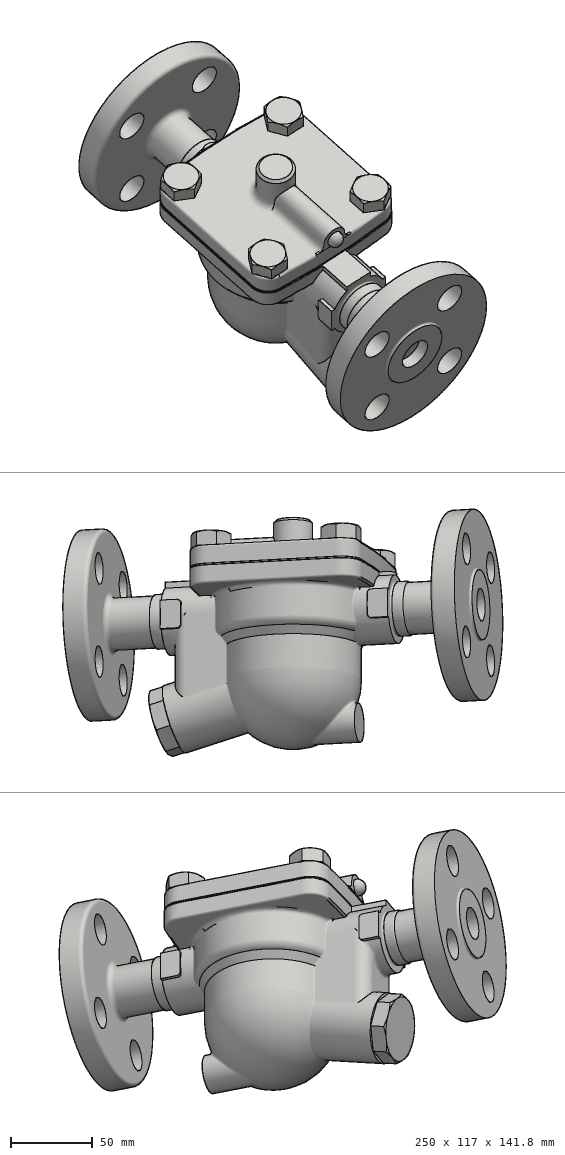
import cadquery as cq
import math

slack = 0.2


total_length = 250.0
flange_dia = 117.0
raised_face_dia = 43.0
raised_face_height = 1.5
raised_face_fillet = 1.2
flange_thickness = 15.2
flange_edge_round = 2.5
flange_hole_dia = 19.2
flange_hole_offset = 29.0
bore_dia = 20.0
bore_depth = 7.8

pipe_dia = 32.0
neck_fillet = 3.5
bead_dia = 33.5
bead_length = 7.0
bead_start = 73.0
bead_round = 0.8
hub_dia = 42.0
hub_end = 71.8
hub_face_fillet = 1.0

side_pad_span = 43.0
side_pad_height = 17.8
side_pad_length = 13.0
top_pad_z = 22.5
inlet_top_pad_width = 12.0
outlet_top_pad_width = 19.0
pad_round = 2.5
inlet_pad_nose_round = 5.5

body_x = -6.5
collar_radius = 48.0
bowl_radius = 41.8
bowl_centre_z = -41.5
collar_bottom_z = -10.0
bowl_top_z = -20.5
collar_fillet = 2.5
junction_fillet = 1.0

bolt_offset = 41.0
plate_corner_radius = 13.0
plate_half_length = 55.8
plate_bottom_z = 11.0
plate_joint_z = 22.5
gasket_thickness = 1.0
gasket_recess = 0.8
cover_recess = 0.2
plate_top_z = 35.2
cover_edge_round = 1.8
plate_edge_round = 1.2
bolt_flats = 22.0
bolt_crown_dia = 21.8
bolt_head_height = 9.2

stub_dia = 24.0
stub_top_z = 58.5
stub_chamfer = 1.8
cover_fillet = 5.2
rod_radius = 8.2
rod_end_x = 48.8
rod_axis_z = plate_top_z + cover_fillet
ball_radius = 5.2
ball_centre_x = 49.2

drain_dia = 24.0
drain_end_x = -48.2
drain_z = -69.5
drain_fillet = 1.5
rib_width = hub_dia
rib_end_x = 64.2
rib_corner_round = 8.2
rib_hub_fillet = 2.5
plug_tilt = 15.0
plug_face_x = 68.0
plug_face_z = -61.2
plug_boss_dia = 43.5
plug_sides = 8
plug_flats = 39.5
plug_crown_dia = 39.5
plug_head_height = 9.8


def cylinder_x(x_start, x_end, dia, z=0.0):
    """Cylinder along X at height z."""
    return cq.Workplane("YZ", origin=(x_start, 0, z)).circle(dia / 2).extrude(x_end - x_start)


def rim(centre, dia, normal):
    """Select the edges in a thin slab about a circle whose axis is X or Z."""
    half_size = [slack if axis == normal else dia / 2 + slack for axis in "XYZ"]
    low = tuple(c - h for c, h in zip(centre, half_size))
    high = tuple(c + h for c, h in zip(centre, half_size))
    return cq.selectors.BoxSelector(low, high, boundingbox=True)


def edges_between(x_min, x_max, z_min, z_max):
    """Select the edges that lie wholly in this range, within the width of the plug boss."""
    half_width = plug_boss_dia / 2 + slack
    low = (x_min - slack, -half_width, z_min - slack)
    high = (x_max + slack, half_width, z_max + slack)
    return cq.selectors.BoxSelector(low, high, boundingbox=True)


def polygon_head(plane, sides, flats, crown_dia, height, turn=0.0):
    """Bolt or plug head: a prism with its outer corners cut back to the crown by a 30 degree cone."""
    corners = flats / math.cos(math.pi / sides)
    prism = cq.Workplane(plane).transformed(rotate=(0, 0, turn)).polygon(sides, corners).extrude(height)
    base_radius = crown_dia / 2 + height * math.sqrt(3)
    cone = cq.Solid.makeCone(base_radius, crown_dia / 2, height, plane.origin, plane.zDir)
    return prism.intersect(cq.Workplane(cone))


def pipe_end():
    """Flange, pipe and weld bead on the +X side."""
    face_x = total_length / 2 - raised_face_height
    back_x = face_x - flange_thickness
    flange = cylinder_x(back_x, face_x, flange_dia).faces("<X").edges().fillet(flange_edge_round)
    pipe = cylinder_x(0, face_x, pipe_dia)
    end = flange.union(pipe)
    end = end.edges(rim((back_x, 0, 0), pipe_dia, "X")).fillet(neck_fillet)
    end = end.union(cylinder_x(face_x, total_length / 2, raised_face_dia))
    end = end.edges(rim((face_x, 0, 0), raised_face_dia, "X")).fillet(raised_face_fillet)
    bead = cylinder_x(bead_start, bead_start + bead_length, bead_dia).edges().fillet(bead_round)
    end = end.union(bead)
    holes = (
        cq.Workplane("YZ", origin=(back_x - slack, 0, 0))
        .rect(2 * flange_hole_offset, 2 * flange_hole_offset, forConstruction=True)
        .vertices()
        .circle(flange_hole_dia / 2)
        .extrude(flange_thickness + 2 * slack)
    )
    bore = cylinder_x(total_length / 2 - bore_depth, total_length / 2, bore_dia)
    return end.cut(holes).cut(bore)


def plate(z_bottom, z_top, recess=0.0):
    """Plate with round corners about the bolts and gently bulged ends; recess trims its whole rim."""
    corner_radius = plate_corner_radius - recess
    half_length = plate_half_length - recess
    half_width = bolt_offset + corner_radius
    reach = half_length - corner_radius - bolt_offset
    arc_centre = (bolt_offset**2 / reach - 2 * bolt_offset - reach) / 2
    slope = math.atan2(bolt_offset, arc_centre + bolt_offset)
    tangent_x = bolt_offset + corner_radius * math.cos(slope)
    tangent_y = bolt_offset + corner_radius * math.sin(slope)
    middle = (slope + math.pi / 2) / 2
    mid_x = bolt_offset + corner_radius * math.cos(middle)
    mid_y = bolt_offset + corner_radius * math.sin(middle)
    return (
        cq.Workplane("XY", origin=(body_x, 0, z_bottom))
        .moveTo(-bolt_offset, half_width)
        .lineTo(bolt_offset, half_width)
        .threePointArc((mid_x, mid_y), (tangent_x, tangent_y))
        .threePointArc((half_length, 0), (tangent_x, -tangent_y))
        .threePointArc((mid_x, -mid_y), (bolt_offset, -half_width))
        .lineTo(-bolt_offset, -half_width)
        .threePointArc((-mid_x, -mid_y), (-tangent_x, -tangent_y))
        .threePointArc((-half_length, 0), (-tangent_x, tangent_y))
        .threePointArc((-mid_x, mid_y), (-bolt_offset, half_width))
        .close()
        .extrude(z_top - z_bottom)
    )


def body():
    """Collar, shoulder and round-bottomed bowl, turned about the vertical axis."""
    shoulder_x = (collar_radius + bowl_radius) / 2
    shoulder_z = (collar_bottom_z + bowl_top_z) / 2
    diagonal = bowl_radius * math.sqrt(0.5)
    return (
        cq.Workplane("XZ", origin=(body_x, 0, 0))
        .moveTo(0, plate_joint_z)
        .lineTo(collar_radius + collar_fillet, plate_joint_z)
        .lineTo(collar_radius + collar_fillet, plate_bottom_z)
        .radiusArc((collar_radius, plate_bottom_z - collar_fillet), -collar_fillet)
        .lineTo(collar_radius, collar_bottom_z)
        .tangentArcPoint((shoulder_x, shoulder_z), relative=False)
        .lineTo(bowl_radius, bowl_top_z)
        .lineTo(bowl_radius, bowl_centre_z)
        .threePointArc((diagonal, bowl_centre_z - diagonal), (0, bowl_centre_z - bowl_radius))
        .close()
        .revolve(360, (0, 0, 0), (0, 1, 0))
    )


def hubs():
    """Straight hub through the body, with the root of each pipe blended into its end face."""
    run = cylinder_x(-hub_end, hub_end, hub_dia).union(cylinder_x(-bead_start, bead_start, pipe_dia))
    for side in (-1, 1):
        run = run.edges(rim((side * hub_end, 0, 0), pipe_dia, "X")).fillet(hub_face_fillet)
    return run


def hub_pads():
    """Flat pads on the top and sides of both hub ends."""
    pad_x = hub_end - side_pad_length / 2
    pads = cq.Workplane("XY")
    for side in (-1, 1):
        pad = cq.Workplane("XY").box(side_pad_length, side_pad_span, side_pad_height)
        inner_edges = "|Y and <X" if side > 0 else "|Y and >X"
        pad = pad.edges(inner_edges).fillet(pad_round)
        pads = pads.union(pad.translate((side * pad_x, 0, 0)))
    for x_outer, width in ((-hub_end, inlet_top_pad_width), (hub_end, outlet_top_pad_width)):
        pad = cq.Workplane("XY").box(abs(x_outer), width, top_pad_z, centered=(True, True, False))
        if x_outer < 0:
            pad = pad.edges("|Z and <X").fillet(inlet_pad_nose_round)
        pads = pads.union(pad.translate((x_outer / 2, 0, 0)))
    return pads


def rod():
    """Horizontal rod on the cover, flared into the cover, with a ball at its end."""
    half_base = rod_radius + cover_fillet
    diagonal = cover_fillet * (1 - math.sqrt(0.5))
    section = (
        cq.Workplane("YZ", origin=(body_x, 0, 0))
        .moveTo(-half_base, plate_top_z)
        .threePointArc((-rod_radius - diagonal, plate_top_z + diagonal), (-rod_radius, rod_axis_z))
        .threePointArc((0, rod_axis_z + rod_radius), (rod_radius, rod_axis_z))
        .threePointArc((rod_radius + diagonal, plate_top_z + diagonal), (half_base, plate_top_z))
        .close()
    )
    ball = cq.Workplane("XY").sphere(ball_radius).translate((ball_centre_x, 0, rod_axis_z))
    return section.extrude(rod_end_x - body_x).union(ball)


def cover_stub():
    stub = cq.Workplane("XY", origin=(body_x, 0, plate_top_z)).circle(stub_dia / 2)
    return stub.extrude(stub_top_z - plate_top_z).faces(">Z").chamfer(stub_chamfer)


def bolts():
    heads = cq.Workplane("XY")
    for x_side, y_side, turn in ((-1, 1, 30), (1, 1, 0), (-1, -1, 0), (1, -1, 30)):
        centre = (body_x + x_side * bolt_offset, y_side * bolt_offset, plate_top_z)
        head = polygon_head(cq.Plane(centre), 6, bolt_flats, bolt_crown_dia, bolt_head_height, turn)
        heads = heads.union(head)
    return heads


def plug():
    """Tilted boss, the rib that ties it to the outlet hub, and the octagon plug."""
    tilt = math.radians(plug_tilt)
    axis = (math.cos(tilt), 0, -math.sin(tilt))
    face = cq.Plane((plug_face_x, 0, plug_face_z), (0, 1, 0), axis)
    boss_length = (plug_face_x - body_x) / math.cos(tilt)
    boss = cq.Workplane(face).circle(plug_boss_dia / 2).extrude(-boss_length)
    half_step = 180 / plug_sides
    head = polygon_head(face, plug_sides, plug_flats, plug_crown_dia, plug_head_height, half_step)
    rib_bottom_z = plug_face_z + (plug_face_x - rib_end_x) * math.tan(tilt)
    inner_bottom_z = plug_face_z + (plug_face_x - body_x) * math.tan(tilt)
    rib = (
        cq.Workplane("XZ", origin=(0, rib_width / 2, 0))
        .polyline([(body_x, 0), (rib_end_x, 0), (rib_end_x, rib_bottom_z), (body_x, inner_bottom_z)])
        .close()
        .extrude(rib_width)
        .edges("|Z and >X")
        .fillet(rib_corner_round)
    )
    return boss.union(head).union(rib)


def casting():
    """Body with its drain, hubs, rib and plug, blended where they meet."""
    cast = body().union(cylinder_x(drain_end_x, body_x, drain_dia, drain_z))
    drain_radius = drain_dia / 2
    beside_drain_end = drain_end_x + 2 * slack
    drain_joint = edges_between(beside_drain_end, body_x, drain_z - drain_radius, drain_z + drain_radius)
    cast = cast.edges(drain_joint).fillet(drain_fillet)

    cast = cast.union(plug()).union(hubs())
    rib_end = edges_between(rib_end_x - rib_corner_round, rib_end_x, -hub_dia / 2, 0)
    cast = cast.edges(rib_end).fillet(rib_hub_fillet)

    reach = collar_radius + collar_fillet
    collar_top_z = plate_bottom_z - collar_fillet
    inlet_joint = edges_between(body_x - reach, body_x - bowl_radius / 2, -hub_dia / 2, collar_top_z)
    cast = cast.edges(inlet_joint).fillet(junction_fillet)
    bowl_bottom_z = bowl_centre_z - bowl_radius
    rib_joint = edges_between(body_x + bowl_radius / 2, body_x + reach, bowl_bottom_z, collar_top_z)
    return cast.edges(rib_joint).fillet(junction_fillet)


result = casting().union(hub_pads())

lower_plate = plate(plate_bottom_z, plate_joint_z).faces("<Z").edges().fillet(plate_edge_round)
gasket_top_z = plate_joint_z + gasket_thickness
result = result.union(lower_plate).union(plate(plate_joint_z, gasket_top_z, gasket_recess))

cover = plate(gasket_top_z, plate_top_z, cover_recess).faces(">Z").edges().fillet(cover_edge_round)
cover = cover.union(cover_stub())
cover = cover.edges(rim((body_x, 0, plate_top_z), stub_dia, "Z")).fillet(cover_fillet)
cover = cover.union(rod()).union(bolts())
result = result.union(cover)

outlet = pipe_end()
result = result.union(outlet).union(outlet.mirror("YZ"))